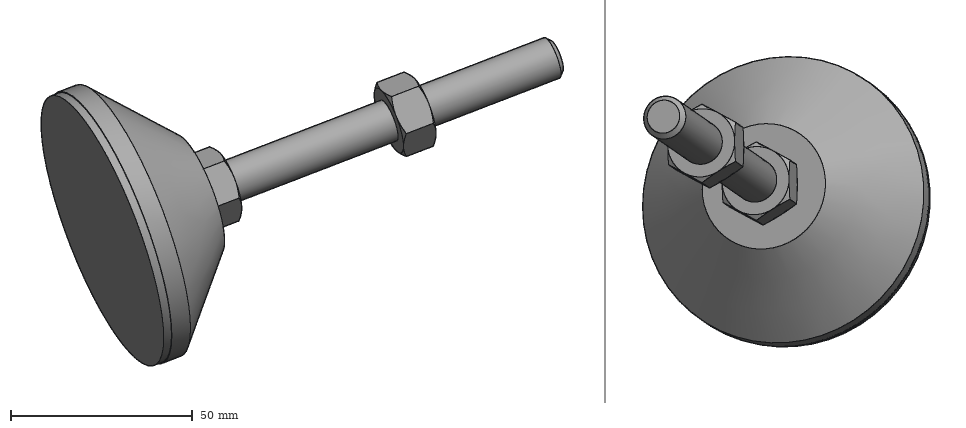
import cadquery as cq
import math

total_length = 138.0
base_radius = 40.0
pad_radius = 39.7
pad_top = 2.3
rim_top = 8.0
cone_top = 29.0
cone_top_radius = 17.5
stud_radius = 6.0
stud_chamfer = 1.4

nut_flats = 19.0
nut_corners = nut_flats / math.cos(math.pi / 6)
nut_crown_angle = math.radians(30)
lower_nut_height = 9.0
upper_nut_start = 87.1
upper_nut_height = 10.0


def revolve_about_y(points):
    """Revolve a closed (radius, y) outline about the Y axis."""
    return cq.Workplane("XY").polyline(points).close().revolve(360, (0, 0), (0, 1))


def make_base():
    return revolve_about_y([
        (0, 0),
        (pad_radius, 0),
        (pad_radius, pad_top),
        (base_radius, pad_top),
        (base_radius, rim_top),
        (cone_top_radius, cone_top),
        (0, cone_top),
    ])


def make_stud():
    return revolve_about_y([
        (0, 0),
        (stud_radius, 0),
        (stud_radius, total_length - stud_chamfer),
        (stud_radius - stud_chamfer, total_length),
        (0, total_length),
    ])


def make_nut(start, height):
    """Hexagonal nut with corners on Z and conically crowned ends."""
    end = start + height
    hexagon = (
        cq.Workplane("XZ", origin=(0, start, 0))
        .transformed(rotate=(0, 0, 90))
        .polygon(6, nut_corners)
        .extrude(-height)
    )
    face_radius = nut_flats / 2
    corner_radius = nut_corners / 2
    crown = (corner_radius - face_radius) * math.tan(nut_crown_angle)
    envelope = revolve_about_y([
        (0, start),
        (face_radius, start),
        (corner_radius, start + crown),
        (corner_radius, end - crown),
        (face_radius, end),
        (0, end),
    ])
    return hexagon.intersect(envelope)


lower_nut = make_nut(cone_top, lower_nut_height)
upper_nut = make_nut(upper_nut_start, upper_nut_height)

result = make_base().union(make_stud()).union(lower_nut).union(upper_nut)